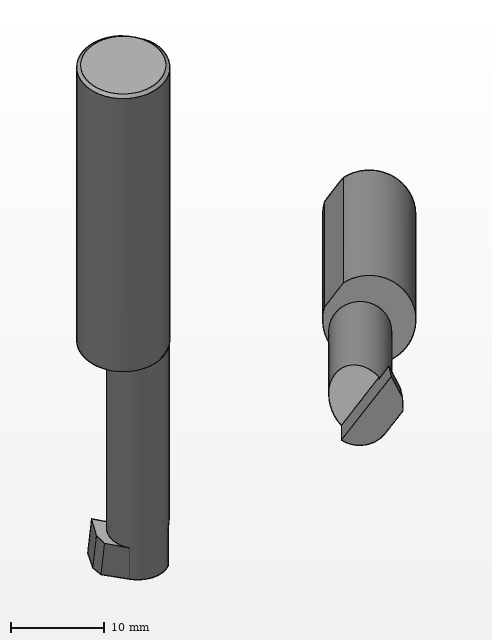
import cadquery as cq
import math

total_length = 72.0
shank_radius = 5.005
shank_bottom = 32.0
shank_flat_y = 4.715
chamfer_width = 0.4
chamfer_height = 0.3

neck_radius = 3.4
neck_x = shank_radius - neck_radius

head_height = 5.1
tip_x = -3.95
side_lean = 0.4
heel_x = -2.7
heel_y = -2.45
front_corner_x = -1.6
end_slope_x = math.tan(math.radians(2))
end_slope_y = math.tan(math.radians(6))

runout_start = 5.75


def make_shank():
    blank = (
        cq.Workplane("XY", origin=(0, 0, shank_bottom))
        .circle(shank_radius)
        .extrude(total_length - shank_bottom)
        .faces(">Z")
        .chamfer(chamfer_height, chamfer_width)
    )
    envelope = (
        cq.Workplane("XY", origin=(0, shank_flat_y - shank_radius, shank_bottom))
        .rect(2 * shank_radius, 2 * shank_radius)
        .extrude(total_length - shank_bottom)
    )
    return blank.intersect(envelope)


def make_neck():
    return cq.Workplane("XY").center(neck_x, 0).circle(neck_radius).extrude(shank_bottom)


def make_head():
    """Leaning cutting tooth, blended into the front of the neck."""

    def outline(lean):
        return [
            (tip_x + lean, 0),
            (heel_x + lean, heel_y),
            (front_corner_x + lean, -neck_radius),
            (neck_x, -neck_radius),
            (neck_x, 0),
        ]

    return (
        cq.Workplane("XY")
        .polyline(outline(0))
        .close()
        .workplane(offset=head_height)
        .polyline(outline(side_lean))
        .close()
        .loft(ruled=True)
    )


def make_rake_cutter():
    """Remove the +Y half of the neck end, leaving a 45 degree run-out."""
    return (
        cq.Workplane("YZ")
        .polyline([
            (0, -shank_radius),
            (0, runout_start),
            (shank_radius, runout_start + shank_radius),
            (shank_radius, -shank_radius),
        ])
        .close()
        .extrude(2 * shank_radius, both=True)
    )


def make_end_cutter():
    """Half space below the sloping end face, whose lowest point is the tip."""
    normal = (end_slope_x, -end_slope_y, -1)
    end_plane = cq.Plane(origin=(tip_x, 0, 0), xDir=(1, 0, end_slope_x), normal=normal)
    cutter_size = 4 * shank_radius
    return cq.Workplane(end_plane).rect(cutter_size, cutter_size).extrude(shank_radius)


result = (
    make_shank()
    .union(make_neck())
    .union(make_head())
    .cut(make_rake_cutter())
    .cut(make_end_cutter())
)